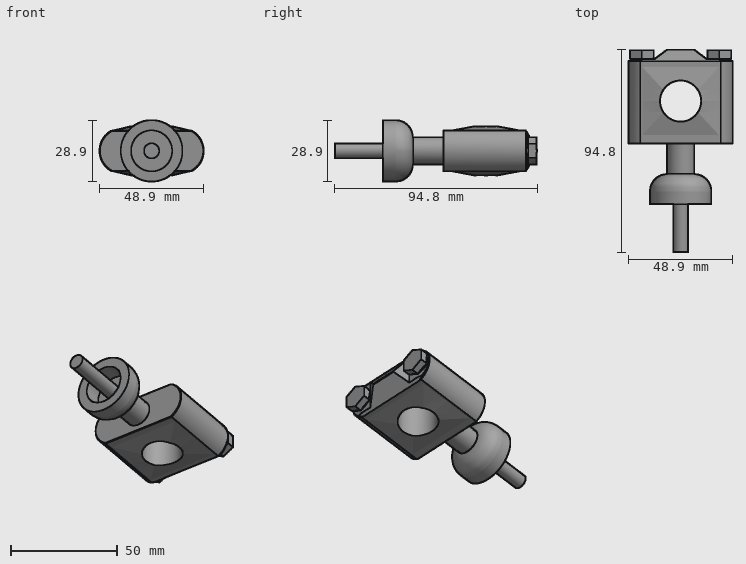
import cadquery as cq
import math


overall_length = 94.85

body_width = 48.9
body_thickness = 19.2
body_flat_width = 37.2
body_front = -20.0
body_back = 18.9
body_length = body_back - body_front
end_chamfer = 0.3
clamp_hole_diameter = 19.2

pad_width = 35.9
pad_length = 31.9
pad_top_length = 10.4
pad_height = 2.0
hole_radius = clamp_hole_diameter / 2
pad_top_width = 2 * math.sqrt(hole_radius**2 - (pad_top_length / 2) ** 2)
pad_base_z = body_thickness / 2
pad_top_z = pad_base_z + pad_height

ridge_y = 24.1
ridge_length = 12.8
ridge_foot_length = 24.7
ridge_tip_thickness = 0.6
seat_y = 19.6
seat_width = 36.4
roof_thickness = body_thickness - 2 * end_chamfer

bolt_spacing = 36.3
washer_diameter = 10.5
head_bottom_y = 19.9
head_top_y = 23.8
head_sides = 6
head_across_flats = 11.2
head_across_corners = head_across_flats / math.cos(math.pi / head_sides)

post_diameter = 12.9
cap_back_y = -34.1
cap_front_y = -48.3
cap_diameter = 28.9
cap_round = 8.2
cap_bore_diameter = 19.3
cap_bore_depth = cap_back_y - cap_front_y - (cap_diameter - cap_bore_diameter) / 2
rod_diameter = 7.1
rod_end_y = ridge_y - overall_length


def plane_facing_back(y):
    """Plane at height y whose normal is +Y and whose local x is the part's X."""
    return cq.Workplane(cq.Plane(origin=(0, y, 0), xDir=(1, 0, 0), normal=(0, 1, 0)))


def cylinder(diameter, start_y, end_y, x=0):
    return plane_facing_back(start_y).center(x, 0).circle(diameter / 2).extrude(end_y - start_y)


def body_outline(y):
    """Flat top and bottom joined by a round arc at each end."""
    side = body_flat_width / 2
    top = body_thickness / 2
    return (
        plane_facing_back(y)
        .moveTo(-side, -top)
        .lineTo(side, -top)
        .threePointArc((body_width / 2, 0), (side, top))
        .lineTo(-side, top)
        .threePointArc((-body_width / 2, 0), (-side, -top))
        .close()
    )


def clamp_body():
    return body_outline(body_front).extrude(body_length).edges().chamfer(end_chamfer)


def pad_section(top_width):
    """Trapezoid across the pad, from the middle of the body up to the pad top."""
    return [
        (-pad_width / 2, 0),
        (pad_width / 2, 0),
        (pad_width / 2, pad_base_z),
        (top_width / 2, pad_top_z),
        (-top_width / 2, pad_top_z),
        (-pad_width / 2, pad_base_z),
    ]


def pad():
    """Four-sided frustum whose middle band bulges out to keep the hole rim level."""
    frustum = (
        cq.Workplane("XY", origin=(0, 0, pad_base_z))
        .rect(pad_width, pad_length)
        .workplane(offset=pad_height)
        .rect(pad_top_width, pad_top_length)
        .loft(ruled=True)
    )
    half_band = (
        cq.Workplane("XZ")
        .polyline(pad_section(clamp_hole_diameter))
        .close()
        .workplane(offset=pad_top_length / 2)
        .polyline(pad_section(pad_top_width))
        .close()
        .loft(ruled=True)
    )
    return frustum.union(half_band).union(half_band.mirror("XZ"))


def roof():
    """Faces sloping to a ridge, cut down at each side to a bolt seat that falls off outwards."""
    slopes = (
        cq.Workplane("YZ", origin=(-body_width / 2, 0, 0))
        .polyline([
            (body_back, -roof_thickness / 2),
            (ridge_y, -ridge_tip_thickness / 2),
            (ridge_y, ridge_tip_thickness / 2),
            (body_back, roof_thickness / 2),
        ])
        .close()
        .extrude(body_width)
    )
    right_profile = [
        (ridge_length / 2, ridge_y),
        (ridge_foot_length / 2, seat_y),
        (seat_width / 2, seat_y),
        (body_width / 2, body_back),
    ]
    left_profile = [(-x, y) for x, y in reversed(right_profile)]
    stepped_back = (
        cq.Workplane("XY", origin=(0, 0, -body_thickness / 2))
        .polyline(left_profile + right_profile)
        .close()
        .extrude(body_thickness)
    )
    rounded_ends = body_outline(body_back).offset2D(-end_chamfer).extrude(ridge_y - body_back)
    return slopes.intersect(stepped_back).intersect(rounded_ends)


def bolt(x):
    """Hex head, two corners along Z, on a round washer."""
    washer = cylinder(washer_diameter, body_back, head_bottom_y, x)
    head = (
        cq.Workplane(cq.Plane(origin=(x, head_bottom_y, 0), xDir=(0, 0, 1), normal=(0, 1, 0)))
        .polygon(head_sides, head_across_corners)
        .extrude(head_top_y - head_bottom_y)
    )
    return washer.union(head)


def handle():
    """Post, hollow round-backed cap and the rod that comes out of the cap."""
    cap = cylinder(cap_diameter, cap_front_y, cap_back_y).edges(">Y").fillet(cap_round)
    bore = cylinder(cap_bore_diameter, cap_front_y, cap_front_y + cap_bore_depth)
    post = cylinder(post_diameter, cap_back_y, body_front)
    rod = cylinder(rod_diameter, rod_end_y, cap_back_y)
    return cap.cut(bore).union(post).union(rod)


result = clamp_body().union(roof()).union(pad()).union(pad().mirror("XY"))
for side in (-1, 1):
    result = result.union(bolt(side * bolt_spacing / 2))
clamp_hole = cq.Workplane("XY", origin=(0, 0, -pad_top_z)).circle(hole_radius).extrude(2 * pad_top_z)
result = result.cut(clamp_hole).union(handle())